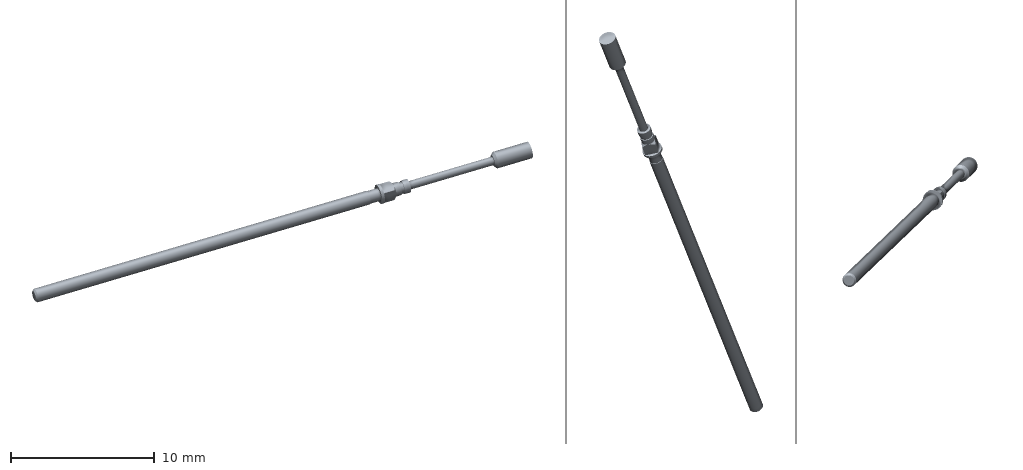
import cadquery as cq


BARREL_DIAMETER = 0.98
BARREL_TIP_Y = -26.0
BARREL_TIP_CHAMFER = 0.12
NECK_LENGTH = 0.8
NECK_DIAMETER = 0.91

FLANGE_DIAMETER = 1.4
FLANGE_THICKNESS = 0.2

SQUARE_ACROSS_FLATS = 0.98
SQUARE_ACROSS_CORNERS = 1.36
SQUARE_TOP_Y = 1.15
SQUARE_CHAMFER_LENGTH = 0.16

COLLAR_DIAMETER = 0.98
COLLAR_TOP_Y = 2.26
GROOVE_DIAMETER = 0.84
GROOVE_LIP_DIAMETER = 0.96
GROOVE_CENTRE_Y = 1.68
GROOVE_WIDTH = 0.23
GROOVE_SLOPE_LENGTH = 0.2

ROD_DIAMETER = 0.6
HEAD_DIAMETER = 1.2
HEAD_TOP_Y = 11.4
HEAD_LENGTH = 2.78
HEAD_TAPER_LENGTH = 0.18
HEAD_TAPER_END_DIAMETER = 0.82

HEAD_BOTTOM_Y = HEAD_TOP_Y - HEAD_LENGTH


def turned(profile):
    """Revolve a (diameter, y) profile about the Y axis, closing it along the axis."""
    bottom_y = profile[0][1]
    top_y = profile[-1][1]
    radial_points = [(y, diameter / 2) for diameter, y in profile]
    outline = [(bottom_y, 0)] + radial_points + [(top_y, 0)]
    return cq.Workplane("YZ").polyline(outline).close().revolve(360, (0, 0), (1, 0))


def cylinder(diameter, bottom_y, top_y):
    return turned([(diameter, bottom_y), (diameter, top_y)])


def barrel():
    tip_diameter = BARREL_DIAMETER - 2 * BARREL_TIP_CHAMFER
    return turned([
        (tip_diameter, BARREL_TIP_Y),
        (BARREL_DIAMETER, BARREL_TIP_Y + BARREL_TIP_CHAMFER),
        (BARREL_DIAMETER, -NECK_LENGTH),
        (NECK_DIAMETER, -NECK_LENGTH),
        (NECK_DIAMETER, 0),
    ])


def square_section():
    """Square bar whose corners are turned round and chamfered at the top."""
    height = SQUARE_TOP_Y - FLANGE_THICKNESS
    middle_y = FLANGE_THICKNESS + height / 2
    bar = cq.Workplane("XY").box(SQUARE_ACROSS_FLATS, height, SQUARE_ACROSS_FLATS)
    envelope = turned([
        (SQUARE_ACROSS_CORNERS, FLANGE_THICKNESS),
        (SQUARE_ACROSS_CORNERS, SQUARE_TOP_Y - SQUARE_CHAMFER_LENGTH),
        (COLLAR_DIAMETER, SQUARE_TOP_Y),
    ])
    return bar.translate((0, middle_y, 0)).intersect(envelope)


def grooved_collar():
    lip_offset = GROOVE_WIDTH / 2
    slope_offset = lip_offset + GROOVE_SLOPE_LENGTH
    return turned([
        (COLLAR_DIAMETER, SQUARE_TOP_Y),
        (COLLAR_DIAMETER, GROOVE_CENTRE_Y - slope_offset),
        (GROOVE_LIP_DIAMETER, GROOVE_CENTRE_Y - lip_offset),
        (GROOVE_DIAMETER, GROOVE_CENTRE_Y - lip_offset),
        (GROOVE_DIAMETER, GROOVE_CENTRE_Y + lip_offset),
        (GROOVE_LIP_DIAMETER, GROOVE_CENTRE_Y + lip_offset),
        (COLLAR_DIAMETER, GROOVE_CENTRE_Y + slope_offset),
        (COLLAR_DIAMETER, COLLAR_TOP_Y),
    ])


def head():
    return turned([
        (HEAD_TAPER_END_DIAMETER, HEAD_BOTTOM_Y),
        (HEAD_DIAMETER, HEAD_BOTTOM_Y + HEAD_TAPER_LENGTH),
        (HEAD_DIAMETER, HEAD_TOP_Y),
    ])


flange = cylinder(FLANGE_DIAMETER, 0, FLANGE_THICKNESS)
rod = cylinder(ROD_DIAMETER, COLLAR_TOP_Y, HEAD_BOTTOM_Y)

result = barrel()
for section in (flange, square_section(), grooved_collar(), rod, head()):
    result = result.union(section)